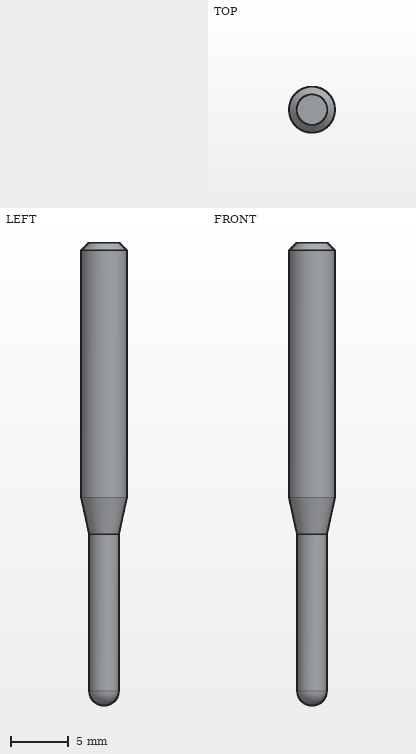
import cadquery as cq
import math

total_length = 40.0
shank_radius = 2.0
tip_diameter = 2.6
tip_radius = tip_diameter / 2
neck_top = 14.8
taper_top = 18.0
top_chamfer = 0.7

tip_z = -total_length / 2
neck_top_z = tip_z + neck_top
taper_top_z = tip_z + taper_top
shank_top_z = tip_z + total_length


def revolve_about_z(profile):
    """Turn a closed half profile in the XZ plane about the Z axis."""
    return profile.revolve(360, (0, 0), (0, 1))


def make_cutter():
    """Round cutter with a hemispherical tip."""
    ball_center_z = tip_z + tip_radius
    arc_offset = tip_radius * math.sqrt(0.5)
    profile = (
        cq.Workplane("XZ")
        .moveTo(0, tip_z)
        .threePointArc((arc_offset, ball_center_z - arc_offset), (tip_radius, ball_center_z))
        .lineTo(tip_radius, neck_top_z)
        .lineTo(0, neck_top_z)
        .close()
    )
    return revolve_about_z(profile)


def make_shank():
    """Shank that tapers down to the cutter and has a chamfered top end."""
    profile = (
        cq.Workplane("XZ")
        .moveTo(0, neck_top_z)
        .lineTo(tip_radius, neck_top_z)
        .lineTo(shank_radius, taper_top_z)
        .lineTo(shank_radius, shank_top_z - top_chamfer)
        .lineTo(shank_radius - top_chamfer, shank_top_z)
        .lineTo(0, shank_top_z)
        .close()
    )
    return revolve_about_z(profile)


cutter = make_cutter()
shank = make_shank()

result = cq.Compound.makeCompound([cutter.val(), shank.val()])